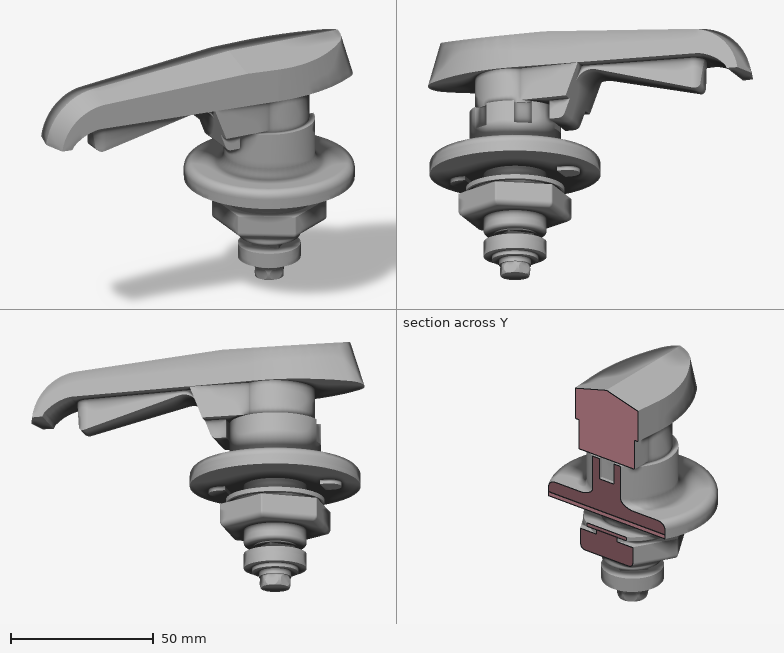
import cadquery as cq
import math


handle_top = 50.6
handle_underside = 34.7
block_bottom = 23.2
collar_top = 22.5
lip_bottom = 16.5
slot_bottom = 14.4
flange_top = 6.5
gasket_top = 1.5
washer_top = -4.9
washer_bottom = -6.5
nut_face = -8.0
nut_bottom = -16.2
barrel_bottom = -21.8
shoulder_bottom = -22.2
shaft_flange_top = -24.7
shaft_flange_bottom = -26.6
spacer_bottom = -30.0
screw_washer_bottom = -31.3
screw_head_top = -33.1
screw_bottom = -37.1

flange_radius = 30.0
flange_round = 2.9
collar_radius = 16.1
collar_fillet = 2.9
barrel_radius = 11.0
barrel_round = 1.2
slot_width = 6.4
slot_floor_radius = 13.5
slot_angles = (90, 150, 210, 270)
peg_height = 1.5
peg_radius = 4.2
peg_center_y = 19.7
peg_inner_y = 17.2

hub_radius = 14.0
side_taper = 0.083
taper_start_y = -4.1
taper_start_half_width = 14.9
rear_y = 32.0
rear_lean = 5.0
rear_corner_x = 6.5
rear_corner_y = 28.2
rear_corner_lean = 4.2
roof_clearance = 24.0
roof_angle = 15.0
ridge_break_y = -16.0
nose_start_y = -69.6
nose_start_z = 46.2
tip_y = -88.0
tip_z = 28.5
nose_under_y = -71.8
nose_under_middle = (-76.5, 33.2)
nose_under_end = (-81.2, 29.8)
nose_heel_y = -82.0
block_half_width = 12.5

trigger_half_width = 8.2
trigger_back_y = -15.8
trigger_front_top_y = -27.8
trigger_front_lean = 0.39
lip_round = 2.4
arm_round = 6.0
arm_slope = 0.26
arm_root_z = 34.5
arm_end_top_y = -71.0
arm_end_lean = 0.1
arm_nose_radius = 4.7
arm_nose_y = -66.5
arm_end_round = 1.9

washer_radius = 17.3
nut_face_radius = 15.5
nut_across_flats = 35.0
nut_corner_round = 0.7
nut_bottom_round = 1.8
shoulder_radius = 7.5
square_side = 10.0
screw_washer_radius = 8.2
screw_collar_radius = 5.6
screw_across_flats = 10.0
head_end_radius = 5.0
head_middle_radius = 5.5
screw_stem_radius = 3.0
screw_stem_top = shoulder_bottom
hexagon_half_angle = math.radians(30)

margin = 6.0
tolerance = 0.06


def cylinder(radius, bottom, top):
    """Solid cylinder on the Z axis."""
    return cq.Workplane("XY").workplane(offset=bottom).circle(radius).extrude(top - bottom)


def ring(outer_radius, inner_radius, bottom, top):
    """Flat ring on the Z axis."""
    return (
        cq.Workplane("XY").workplane(offset=bottom)
        .circle(outer_radius).circle(inner_radius).extrude(top - bottom)
    )


def lever_half_width(y):
    """Half-width of the straight, tapering part of the lever."""
    return taper_start_half_width + side_taper * (y - taper_start_y)


def trigger_front_y(z):
    """Position of the sloping front face shared by the hub block and the trigger."""
    return trigger_front_top_y + trigger_front_lean * (handle_underside - z)


def extrude_across(profile, half_width):
    """Extrude a YZ profile equally to both sides of the middle plane."""
    return profile.extrude(half_width, both=True)


def make_housing():
    flange = cylinder(flange_radius, gasket_top, flange_top).faces(">Z").edges().fillet(flange_round)
    body = flange.union(cylinder(collar_radius, flange_top, collar_top))
    foot_reach = collar_radius + tolerance
    foot = cq.selectors.BoxSelector(
        (-foot_reach, -foot_reach, flange_top - tolerance),
        (foot_reach, foot_reach, flange_top + tolerance),
        boundingbox=True,
    )
    body = body.edges(foot).fillet(collar_fillet)
    barrel = cylinder(barrel_radius, barrel_bottom, gasket_top).faces("<Z").edges().fillet(barrel_round)
    body = body.union(barrel)
    body = body.cut(cylinder(shoulder_radius, barrel_bottom, collar_top))
    slot_length = collar_radius - slot_floor_radius + margin
    slot = (
        cq.Workplane("XY").workplane(offset=slot_bottom)
        .center(slot_floor_radius + slot_length / 2, 0).rect(slot_length, slot_width)
        .extrude(collar_top - slot_bottom)
    )
    for angle in slot_angles:
        body = body.cut(slot.rotate((0, 0, 0), (0, 0, 1), angle))
    return body


def make_peg(side):
    """Locating peg, flat towards the axis and round on the outside."""
    return (
        cq.Workplane("XY").workplane(offset=-peg_height)
        .moveTo(-peg_radius, side * peg_inner_y)
        .lineTo(-peg_radius, side * peg_center_y)
        .threePointArc((0, side * (peg_center_y + peg_radius)), (peg_radius, side * peg_center_y))
        .lineTo(peg_radius, side * peg_inner_y)
        .close().extrude(peg_height)
    )


def make_gasket():
    gasket = ring(flange_radius, barrel_radius, 0, gasket_top)
    for side in (-1, 1):
        gasket = gasket.union(make_peg(side))
    return gasket


def lever_outline(plane, lean, corner_lean):
    """Plan outline: straight tapering sides, bulging rear sides and a rounded rear end."""
    front_y = tip_y - margin
    front_x = lever_half_width(front_y)
    corner = (rear_corner_x, rear_corner_y - corner_lean)
    run_x = corner[0] - taper_start_half_width
    run_y = corner[1] - taper_start_y
    length = math.hypot(side_taper, 1)
    normal = (-1 / length, side_taper / length)
    radius = (run_x**2 + run_y**2) / (2 * (run_x * normal[0] + run_y * normal[1]))
    center_x = taper_start_half_width + radius * normal[0]
    center_y = taper_start_y + radius * normal[1]
    middle_x = taper_start_half_width + run_x / 2 - center_x
    middle_y = taper_start_y + run_y / 2 - center_y
    stretch = radius / math.hypot(middle_x, middle_y)
    bulge = (center_x + stretch * middle_x, center_y + stretch * middle_y)
    return (
        plane.moveTo(-front_x, front_y).lineTo(front_x, front_y)
        .lineTo(taper_start_half_width, taper_start_y)
        .threePointArc(bulge, corner)
        .threePointArc((0, rear_y - lean), (-corner[0], corner[1]))
        .threePointArc((-bulge[0], bulge[1]), (-taper_start_half_width, taper_start_y))
        .close()
    )


def make_lever_blank():
    """Lever with a flat top, leaning forward at the rear."""
    bottom = lever_outline(cq.Workplane("XY").workplane(offset=handle_underside), 0, 0)
    both = lever_outline(
        bottom.workplane(offset=handle_top - handle_underside), rear_lean, rear_corner_lean
    )
    return both.loft(ruled=True)


def make_nose_drop():
    """The part of the curled nose that hangs below the lever underside."""
    front_y = tip_y - margin
    profile = (
        cq.Workplane("YZ").moveTo(nose_under_y, handle_underside)
        .threePointArc(nose_under_middle, nose_under_end)
        .lineTo(nose_heel_y, tip_z).lineTo(front_y, tip_z).lineTo(front_y, handle_underside).close()
    )
    plan = lever_outline(cq.Workplane("XY").workplane(offset=tip_z), 0, 0)
    return extrude_across(profile, block_half_width).intersect(plan.extrude(handle_top - tip_z))


def make_roof_cutter():
    """Everything above the gabled roof, swept along its ridge."""
    reach = taper_start_half_width + margin
    fall = reach * math.tan(math.radians(roof_angle))
    start_y = rear_y + margin
    ridge = (
        cq.Workplane("YZ").moveTo(start_y, handle_top).lineTo(ridge_break_y, handle_top)
        .lineTo(nose_start_y, nose_start_z).tangentArcPoint((tip_y, tip_z), relative=False)
        .line(0, -margin)
    )
    return (
        cq.Workplane("XZ", origin=(0, start_y, handle_top))
        .polyline([
            (0, 0),
            (reach, -fall),
            (reach, roof_clearance),
            (-reach, roof_clearance),
            (-reach, -fall),
        ])
        .close().sweep(ridge, transition="right")
    )


def make_hub_block():
    """Block in front of the hub, split by the slot that holds the trigger."""
    profile = cq.Workplane("YZ").polyline([
        (0, block_bottom),
        (trigger_front_y(block_bottom), block_bottom),
        (trigger_front_top_y, handle_underside),
        (0, handle_underside),
    ]).close()
    slot_front_y = trigger_front_top_y - margin
    slot = (
        cq.Workplane("XY").workplane(offset=block_bottom)
        .moveTo(0, (trigger_back_y + slot_front_y) / 2)
        .rect(2 * trigger_half_width, trigger_back_y - slot_front_y)
        .extrude(handle_underside - block_bottom)
    )
    return extrude_across(profile, block_half_width).cut(slot)


def make_handle():
    lever = make_lever_blank().union(make_nose_drop()).cut(make_roof_cutter())
    hub = cylinder(hub_radius, collar_top, handle_underside)
    return lever.union(hub).union(make_hub_block())


def edges_across(y, z):
    """Selector for an edge parallel to X that passes through (y, z)."""
    reach = 2 * trigger_half_width
    low = (-reach, y - tolerance, z - tolerance)
    high = (reach, y + tolerance, z + tolerance)
    return cq.selectors.BoxSelector(low, high)


def make_trigger():
    """Lip under the hub block and tapering arm under the lever, in one piece."""
    lip_front = (trigger_front_y(lip_bottom), lip_bottom)
    root = (trigger_front_y(arm_root_z), arm_root_z)
    end_z = arm_root_z + arm_slope * (arm_end_top_y - root[0])
    end = (arm_end_top_y + arm_end_lean * (handle_underside - end_z), end_z)
    profile = cq.Workplane("YZ").polyline([
        (trigger_back_y, handle_underside),
        (arm_end_top_y, handle_underside),
        end,
        root,
        lip_front,
        (trigger_back_y, lip_bottom),
    ]).close()
    trigger = extrude_across(profile, 2 * trigger_half_width)
    trigger = trigger.edges(edges_across(*root)).fillet(arm_round)
    trigger = trigger.edges(edges_across(*lip_front)).fillet(lip_round)
    trigger = trigger.edges(edges_across(*end)).fillet(arm_end_round)
    plan = (
        cq.Workplane("XY")
        .moveTo(-trigger_half_width, trigger_back_y)
        .lineTo(-trigger_half_width, trigger_front_top_y)
        .lineTo(-arm_nose_radius, arm_nose_y)
        .threePointArc((0, arm_nose_y - arm_nose_radius), (arm_nose_radius, arm_nose_y))
        .lineTo(trigger_half_width, trigger_front_top_y)
        .lineTo(trigger_half_width, trigger_back_y)
        .close().extrude(handle_underside)
    )
    return trigger.intersect(plan)


def make_washer():
    return ring(washer_radius, barrel_radius, washer_bottom, washer_top)


def make_nut():
    height = nut_face - nut_bottom
    corner_diameter = nut_across_flats / math.cos(hexagon_half_angle)
    nut = (
        cq.Workplane("XY").workplane(offset=nut_bottom).polygon(6, corner_diameter).extrude(height)
        .edges("|Z").fillet(nut_corner_round)
        .faces("<Z").edges().fillet(nut_bottom_round)
    )
    nut = nut.union(cylinder(nut_face_radius, nut_face, washer_bottom))
    return nut.cut(cylinder(barrel_radius, nut_bottom, washer_bottom))


def make_shaft():
    shaft = cylinder(shoulder_radius, shoulder_bottom, collar_top)
    square = (
        cq.Workplane("XY").workplane(offset=shaft_flange_top).transformed(rotate=(0, 0, 45))
        .rect(square_side, square_side).extrude(shoulder_bottom - shaft_flange_top)
    )
    flange = cylinder(barrel_radius, shaft_flange_bottom, shaft_flange_top)
    shaft = shaft.union(square).union(flange)
    return shaft.cut(cylinder(screw_stem_radius, shaft_flange_bottom, screw_stem_top))


def make_spacer():
    return ring(barrel_radius, screw_stem_radius, spacer_bottom, shaft_flange_bottom)


def make_screw():
    """Hexagon screw with a fixed washer and collar; the head corners are turned to a barrel shape."""
    height = screw_head_top - screw_bottom
    corner_diameter = screw_across_flats / math.cos(hexagon_half_angle)
    hexagon = (
        cq.Workplane("XY").workplane(offset=screw_bottom).transformed(rotate=(0, 0, 90))
        .polygon(6, corner_diameter).extrude(height)
    )
    turned = (
        cq.Workplane("XZ").moveTo(0, screw_bottom).lineTo(head_end_radius, screw_bottom)
        .threePointArc((head_middle_radius, screw_bottom + height / 2), (head_end_radius, screw_head_top))
        .lineTo(0, screw_head_top).close().revolve(360, (0, 0, 0), (0, 1, 0))
    )
    head = hexagon.intersect(turned)
    collar = cylinder(screw_collar_radius, screw_head_top, screw_washer_bottom)
    washer = cylinder(screw_washer_radius, screw_washer_bottom, spacer_bottom)
    stem = cylinder(screw_stem_radius, spacer_bottom, screw_stem_top)
    return head.union(collar).union(washer).union(stem)


handle = make_handle()
trigger = make_trigger()
housing = make_housing()
gasket = make_gasket()
washer = make_washer()
nut = make_nut()
shaft = make_shaft()
spacer = make_spacer()
screw = make_screw()

result = cq.Compound.makeCompound([
    handle.val(),
    trigger.val(),
    housing.val(),
    gasket.val(),
    washer.val(),
    nut.val(),
    shaft.val(),
    spacer.val(),
    screw.val(),
])